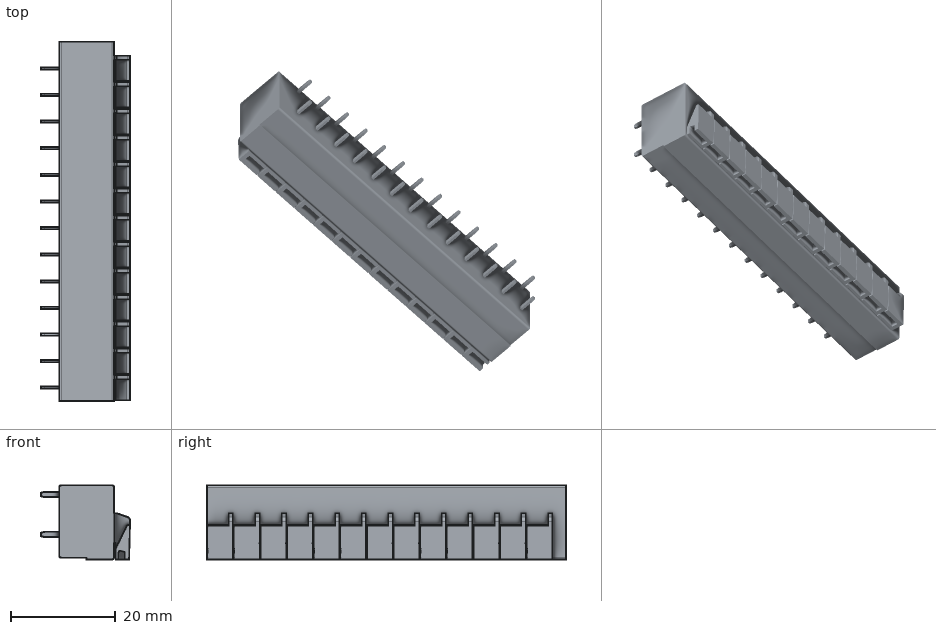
import cadquery as cq


length = 68.6
pole_count = 13
pitch = length / (pole_count + 0.5)
housing_depth = 10.5
height = 14.2
foot_height = 0.35
foot_start = 5.2
edge_radius = 0.4

pin_length = 3.5
pin_height = 1.0
pin_width = 0.5
pin_tip_height = 0.7
pin_taper = 0.7
lower_pin_z = 4.8
pin_row_spacing = 7.6
pin_rows = (lower_pin_z, lower_pin_z + pin_row_spacing)
pin_embed = 0.4

lever_reach = 3.1
lever_width = 4.9
lever_top = 8.85
lever_shoulder = 0.55
lever_nose_z = 7.95
lever_nose_radius = 0.8
lever_rib_width = 0.8
lever_gap = 0.3
lever_joint_z = 3.15
lever_embed = 0.3
heel_inset = 0.2

ramp_bottom_z = 2.05
crest_start_x = 2.3
crest_start_z = 6.25
crest_x = 2.6
crest_z = 6.6
crest_end_z = 6.45

slot_start = 0.8
slot_end = 2.05
slot_wall_height = 1.3
slot_peak_x = 1.0
slot_peak_z = 1.7
slot_end_height = 1.45

first_pole_y = (pitch - length) / 2
pole_places = [first_pole_y + pole * pitch for pole in range(pole_count)]


def extrude_along_y(outline, y_start, y_end):
    """Extrude an XZ outline from y_start to y_end."""
    return outline.extrude(y_start - y_end).translate((0, y_start, 0))


def make_housing():
    """Rounded block, with a shallow foot along the +X half of the underside."""
    outline = cq.Workplane("XZ").polyline([
        (0, foot_height),
        (foot_start, foot_height),
        (foot_start, 0),
        (housing_depth, 0),
        (housing_depth, height),
        (0, height),
    ]).close()
    block = extrude_along_y(outline, -length / 2, length / 2)
    return block.edges("|Y").edges("<X or >X").fillet(edge_radius)


def make_pin(y, z):
    """Flat pin pointing to -X, with its tip tapered in Z."""
    half = pin_height / 2
    tip_half = pin_tip_height / 2
    outline = cq.Workplane("XZ").polyline([
        (-pin_length, z - tip_half),
        (-pin_length + pin_taper, z - half),
        (pin_embed, z - half),
        (pin_embed, z + half),
        (-pin_length + pin_taper, z + half),
        (-pin_length, z + tip_half),
    ]).close()
    return extrude_along_y(outline, y - pin_width / 2, y + pin_width / 2)


def make_lever(y):
    """Lever with a tall rib on its +Y side and a slotted ramp over the rest of its width."""
    face = housing_depth
    tip = face + lever_reach
    inner = face + lever_gap
    heel = tip - heel_inset
    crest_end = heel + heel_inset * crest_end_z / lever_nose_z
    y_start = y - lever_width / 2
    y_end = y + lever_width / 2
    y_rib = y_end - lever_rib_width

    rib_outline = cq.Workplane("XZ").polyline([
        (inner, 0),
        (heel, 0),
        (tip, lever_nose_z),
        (face + lever_shoulder, lever_top),
        (face - lever_embed, lever_top),
        (face - lever_embed, lever_joint_z),
        (inner, lever_joint_z),
    ]).close()
    rib = extrude_along_y(rib_outline, y_rib, y_end)
    nose = cq.selectors.NearestToPointSelector((tip, (y_rib + y_end) / 2, lever_nose_z))
    rib = rib.edges("|Y").edges(nose).fillet(lever_nose_radius)

    ramp_outline = (
        cq.Workplane("XZ")
        .moveTo(inner, 0)
        .lineTo(heel, 0)
        .lineTo(crest_end, crest_end_z)
        .threePointArc((face + crest_x, crest_z), (face + crest_start_x, crest_start_z))
        .lineTo(inner, ramp_bottom_z)
        .close()
    )
    ramp = extrude_along_y(ramp_outline, y_start, y_rib)

    slot_outline = cq.Workplane("XZ").polyline([
        (face + slot_start, 0),
        (face + slot_start, slot_wall_height),
        (face + slot_peak_x, slot_peak_z),
        (face + slot_end, slot_end_height),
        (face + slot_end, 0),
    ]).close()
    slot = extrude_along_y(slot_outline, y_start, y_rib)
    return rib.union(ramp.cut(slot))


result = make_housing()
for pole_y in pole_places:
    result = result.union(make_lever(pole_y))
    for pin_z in pin_rows:
        result = result.union(make_pin(pole_y, pin_z))